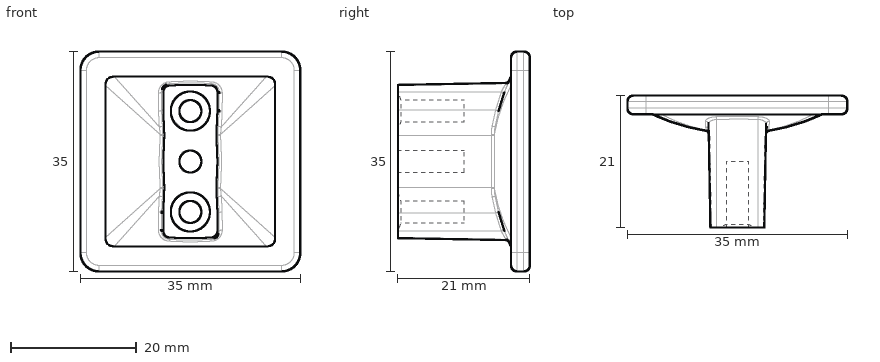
import cadquery as cq
import math

plate_size = 35.0
plate_thickness = 3.0
plate_corner_radius = 3.0
plate_edge_radius = 0.98

dome_size = 27.0
dome_height = 3.0
dome_hip_radius = 3.32

total_depth = 21.0
post_half_width = 4.3
post_waist_half_width = 4.13
post_half_height = 12.2
post_end_crown = 0.15
post_waist_z = 4.15
post_flank_z = 8.15
post_corner_radius = 1.0
post_draft_angle = 1.0
post_root_radius = 0.5

hole_diameter = 3.5
hole_spacing = 8.0
hole_depth = 10.5
countersink_diameter = 6.23
countersink_depth = 0.5


def make_plate():
    plate = cq.Workplane("XZ").rect(plate_size, plate_size).extrude(plate_thickness)
    plate = plate.edges("|Y").fillet(plate_corner_radius)
    return plate.faces("<Y or >Y").edges().fillet(plate_edge_radius)


def make_dome():
    """Overlap of two arched bars, one curved along X and one along Z, with rounded hips."""
    half = dome_size / 2
    arch = cq.Workplane("XY").moveTo(-half, -plate_thickness)
    arch = arch.threePointArc((0, -plate_thickness - dome_height), (half, -plate_thickness)).close()
    bar = arch.extrude(half, both=True)
    dome = bar.intersect(bar.rotate((0, 0, 0), (0, 1, 0), 90))
    return dome.edges("%ELLIPSE").fillet(dome_hip_radius)


def post_outline(y, growth):
    """Closed post section at the given Y, grown outwards by the draft."""
    width = post_half_width + growth
    waist = post_waist_half_width + growth
    height = post_half_height + growth
    shoulder = height - post_end_crown
    radius = post_corner_radius + growth
    corner_x = width - radius
    corner_z = shoulder - radius
    diagonal = radius * math.cos(math.radians(45))

    outline = cq.Workplane("XZ", origin=(0, y, 0)).moveTo(waist, -post_waist_z)
    for side in (1, -1):
        upward = (0, side)
        downward = (0, -side)
        outline = (
            outline.spline(
                [(side * width, 0), (side * waist, side * post_waist_z)],
                tangents=[upward, upward],
                includeCurrent=True,
            )
            .spline([(side * width, side * post_flank_z)], tangents=[upward, upward], includeCurrent=True)
            .lineTo(side * width, side * corner_z)
            .threePointArc(
                (side * (corner_x + diagonal), side * (corner_z + diagonal)),
                (side * corner_x, side * shoulder),
            )
            .threePointArc((0, side * height), (-side * corner_x, side * shoulder))
            .threePointArc(
                (-side * (corner_x + diagonal), side * (corner_z + diagonal)),
                (-side * width, side * corner_z),
            )
            .lineTo(-side * width, side * post_flank_z)
            .spline([(-side * waist, side * post_waist_z)], tangents=[downward, downward], includeCurrent=True)
        )
    return outline.close().val()


def make_post():
    root_y = -plate_thickness / 2
    root_growth = (total_depth + root_y) * math.tan(math.radians(post_draft_angle))
    tip = post_outline(-total_depth, 0)
    root = post_outline(root_y, root_growth)
    return cq.Workplane(cq.Solid.makeLoft([root, tip], True))


def cut_holes(body):
    tip = cq.Workplane("XZ", origin=(0, -total_depth, 0))
    for z in (-hole_spacing, 0, hole_spacing):
        body = body.cut(tip.center(0, z).circle(hole_diameter / 2).extrude(-hole_depth))
    for z in (-hole_spacing, hole_spacing):
        cone = cq.Solid.makeCone(
            countersink_diameter / 2,
            hole_diameter / 2,
            countersink_depth,
            cq.Vector(0, -total_depth, z),
            cq.Vector(0, 1, 0),
        )
        body = body.cut(cq.Workplane(cone))
    return body


def root_edges(body):
    """Edges where the post meets the dome: beside the post and in front of the plate."""
    margin = 0.7
    plate_gap = 0.05
    near_post = cq.selectors.BoxSelector(
        (-post_half_width - margin, -plate_thickness - dome_height, -post_half_height - margin),
        (post_half_width + margin, -plate_thickness - plate_gap, post_half_height + margin),
    )
    return body.edges(near_post)


body = make_plate().union(make_dome()).union(make_post())
body = root_edges(body).fillet(post_root_radius)
result = cut_holes(body)